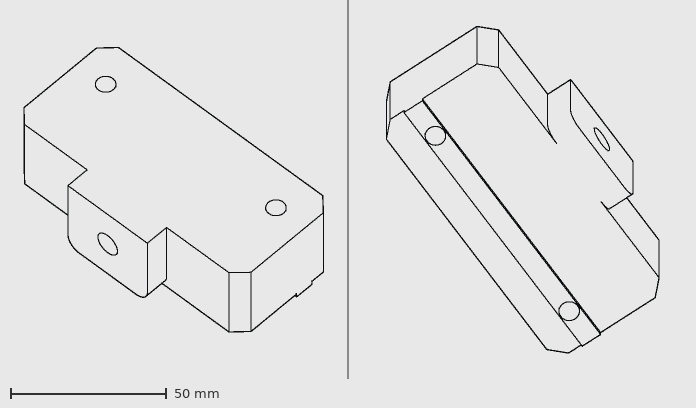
import cadquery as cq

block_length = 100.0
block_depth = 44.0
block_height = 30.0
corner_chamfer = 5.0

lug_width = 35.0
lug_projection = 9.0
lug_corner_radius = 5.0
cross_hole_diameter = 8.6

mount_hole_diameter = 6.6
mount_hole_spacing = 75.0
mount_line_from_back = 14.0
key_width = 7.2
key_height = 1.5

front_y = -block_depth / 2
back_y = block_depth / 2
mount_line_y = back_y - mount_line_from_back
mid_height = block_height / 2


def make_block():
    """Rectangular block with its four vertical edges chamfered."""
    block = cq.Workplane("XY").box(block_length, block_depth, block_height, centered=(True, True, False))
    return block.edges("|Z").chamfer(corner_chamfer)


def make_lug():
    """Front lug, full block height, with its two lower edges rounded."""
    lug = cq.Workplane("XY").box(lug_width, lug_projection, block_height, centered=(True, False, False))
    lug = lug.edges("|Y and <Z").fillet(lug_corner_radius)
    return lug.translate((0, front_y - lug_projection, 0))


def make_key():
    """Locating key along the whole length of the underside."""
    key = cq.Workplane("XY").box(block_length, key_width, key_height, centered=(True, True, False))
    return key.translate((0, mount_line_y, -key_height))


def make_mount_holes():
    """Cutters for the two vertical holes through block and key."""
    return (
        cq.Workplane("XY", origin=(0, mount_line_y, -key_height))
        .rarray(mount_hole_spacing, 1, 2, 1)
        .circle(mount_hole_diameter / 2)
        .extrude(block_height + key_height)
    )


def make_cross_hole():
    """Cutter for the hole running from the lug face out through the back."""
    return (
        cq.Workplane("XZ", origin=(0, back_y, mid_height))
        .circle(cross_hole_diameter / 2)
        .extrude(block_depth + lug_projection)
    )


body = make_block().union(make_lug()).union(make_key())
result = body.cut(make_mount_holes()).cut(make_cross_hole())